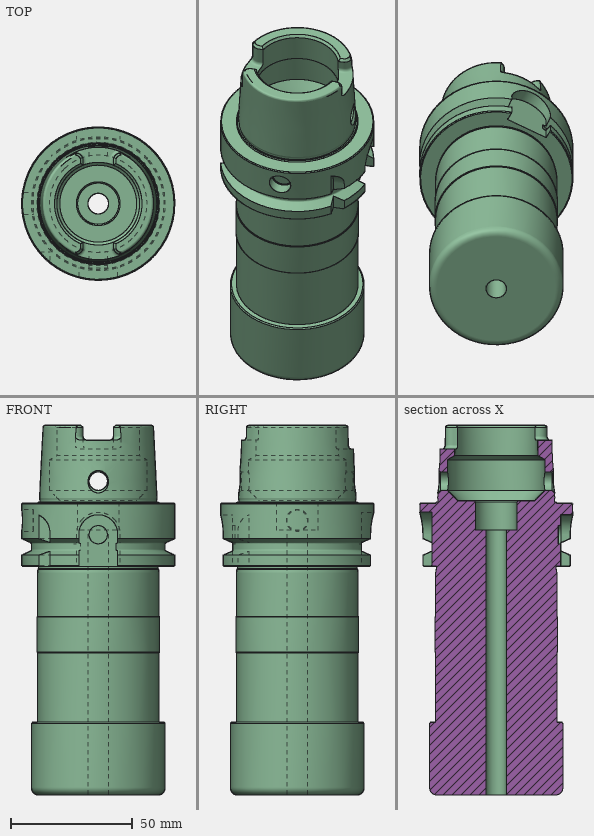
import cadquery as cq
import math


shank_height = 32.0
taper_base_z = 2.0
taper_base_radius = 48.38 / 2
taper_ratio = 1 / 20
rim_edge_size = 1.0
rim_chamfer_angle = 45.0
neck_radius = 48.04 / 2
neck_top_z = 1.2
contact_ring_radius = 50.0 / 2
contact_ring_inner_radius = 49.3 / 2
contact_ring_height = 0.5
taper_top_radius = taper_base_radius - (shank_height - taper_base_z) * taper_ratio

mouth_radius = 34.0 / 2
recess_radius = 40.0 / 2
mouth_depth = 12.5
shoulder_angle = 30.0
cavity_floor_radius = 31.6 / 2
cavity_floor_z = 1.0
thread_radius = 16.92 / 2
thread_chamfer = 0.54
thread_depth = 12.0
coolant_radius = 8.4 / 2

drive_slot_width = 12.4
drive_slot_flare = 3.2
drive_slot_flare_y = 17.7
drive_slot_floor_fillet = 1.5
front_drive_slot_depth = 6.1
rear_drive_slot_depth = 9.7

cross_hole_z = 9.0
cross_hole_radius = 7.5 / 2
cross_hole_sink_radius = 9.5 / 2
cross_hole_sink_reach = 24.0
sink_overrun = 0.5

flange_radius = 63.0 / 2
flange_height = 26.0
flange_edge_chamfer = 0.4
groove_radius = 55.0 / 2
groove_center_z = -18.0
groove_mouth = 6.8
groove_flank_angle = 25.0
groove_root_fillet = 0.5

slot_center_z = -12.8
front_slot_width = 16.0
rear_slot_width = 18.0
slot_floor_y = 26.5
slot_hole_radius = 7.5 / 2
slot_hole_z = -13.0
slot_hole_depth = 1.0
notch_offset = 19.87
notch_cutter_radius = 8.0
notch_center_z = -12.13
coding_hole_radius = 9.0 / 2
coding_hole_z = -7.1
coding_hole_depth = 5.0
coding_hole_floor_chamfer = 0.3

body_radius = 50.05 / 2
body_bottom_z = -120.0
body_neck_radius = 49.3 / 2
body_neck_bottom_z = -26.9
body_lead_radius = 49.7 / 2
body_lead_chamfer = 0.4
body_lead_bottom_z = -28.7
ring_radius = 50.5 / 2
ring_top_z = -46.5
ring_bottom_z = -61.5
ring_chamfer = 0.3
cap_radius = 55.0 / 2
cap_top_z = -90.0
cap_top_chamfer = 0.5
cap_bottom_fillet = 3.0


def revolve(points):
    return cq.Workplane("XZ").polyline(points).close().revolve(360, (0, 0, 0), (0, 1, 0))


def outer_body():
    groove_rise = (flange_radius - groove_radius) * math.tan(math.radians(groove_flank_angle))
    groove_top = groove_center_z + groove_mouth / 2
    groove_bottom = groove_center_z - groove_mouth / 2
    points = [
        (0, shank_height),
        (taper_top_radius, shank_height),
        (taper_base_radius, taper_base_z),
        (neck_radius, neck_top_z),
        (neck_radius, contact_ring_height),
        (contact_ring_inner_radius, contact_ring_height),
        (contact_ring_radius, 0),
        (flange_radius - flange_edge_chamfer, 0),
        (flange_radius, -flange_edge_chamfer),
        (flange_radius, groove_top),
        (groove_radius, groove_top - groove_rise),
        (groove_radius, groove_bottom + groove_rise),
        (flange_radius, groove_bottom),
        (flange_radius, -flange_height + flange_edge_chamfer),
        (flange_radius - flange_edge_chamfer, -flange_height),
        (body_neck_radius, -flange_height),
        (body_neck_radius, body_neck_bottom_z),
        (body_lead_radius, body_neck_bottom_z - body_lead_chamfer),
        (body_radius, body_lead_bottom_z),
        (body_radius, ring_top_z),
        (ring_radius - ring_chamfer, ring_top_z),
        (ring_radius, ring_top_z - ring_chamfer),
        (ring_radius, ring_bottom_z + ring_chamfer),
        (ring_radius - ring_chamfer, ring_bottom_z),
        (body_radius, ring_bottom_z),
        (body_radius, cap_top_z),
        (cap_radius - cap_top_chamfer, cap_top_z),
        (cap_radius, cap_top_z - cap_top_chamfer),
        (cap_radius, body_bottom_z),
        (0, body_bottom_z),
    ]
    body = revolve(points)
    body = body.faces("<Z").edges().fillet(cap_bottom_fillet)
    body = body.faces(">Z").edges().fillet(rim_edge_size)
    half_band = groove_mouth / 2 - groove_rise / 2
    groove_roots = cq.selectors.BoxSelector(
        (-groove_radius, -groove_radius, groove_center_z - half_band),
        (groove_radius, groove_radius, groove_center_z + half_band),
    )
    body = body.edges(groove_roots).edges("%CIRCLE").fillet(groove_root_fillet)
    return body


def cavity():
    mouth_bottom = shank_height - mouth_depth
    shoulder_drop = (recess_radius - mouth_radius) * math.tan(math.radians(shoulder_angle))
    floor_rise = recess_radius - cavity_floor_radius
    points = [
        (0, shank_height),
        (mouth_radius + rim_edge_size, shank_height),
        (mouth_radius, shank_height - rim_edge_size),
        (mouth_radius, mouth_bottom),
        (recess_radius, mouth_bottom - shoulder_drop),
        (recess_radius, cavity_floor_z + floor_rise),
        (cavity_floor_radius, cavity_floor_z),
        (thread_radius + thread_chamfer, cavity_floor_z),
        (thread_radius, cavity_floor_z - thread_chamfer),
        (thread_radius, cavity_floor_z - thread_depth),
        (coolant_radius, cavity_floor_z - thread_depth),
        (coolant_radius, body_bottom_z),
        (0, body_bottom_z),
    ]
    return revolve(points)


def drive_slot_outline(floor_z, growth):
    """Slot opening toward +Y whose side walls flare out in arcs, widened all round by `growth`."""
    half = drive_slot_width / 2 + growth
    flare = drive_slot_flare - growth
    wide = half + flare
    flare_end_y = drive_slot_flare_y + flare
    bulge = flare * (1 - math.sqrt(0.5))
    mid_x = half + bulge
    mid_y = flare_end_y - bulge
    return (
        cq.Workplane("XY", origin=(0, 0, floor_z))
        .moveTo(-half, 0)
        .lineTo(half, 0)
        .lineTo(half, drive_slot_flare_y)
        .threePointArc((mid_x, mid_y), (wide, flare_end_y))
        .lineTo(wide, flange_radius)
        .lineTo(-wide, flange_radius)
        .lineTo(-wide, flare_end_y)
        .threePointArc((-mid_x, mid_y), (-half, drive_slot_flare_y))
        .close()
    )


def drive_slot(depth):
    slot = drive_slot_outline(shank_height - depth, 0).extrude(depth)
    slot = slot.faces("<Z").edges().fillet(drive_slot_floor_fillet)
    rim = drive_slot_outline(shank_height, rim_edge_size).extrude(-rim_edge_size, taper=rim_chamfer_angle)
    return slot.union(rim)


def turned_to_front(shape):
    return shape.rotate((0, 0, 0), (0, 0, 1), 180)


def cross_hole():
    """Hole along Y through both walls, with a conical countersink on each outer side."""
    hole = cq.Workplane("XZ").center(0, cross_hole_z).circle(cross_hole_radius)
    hole = hole.extrude(flange_radius, both=True)
    sink_depth = cross_hole_sink_radius - cross_hole_radius
    sink = cq.Workplane("XY").add(
        cq.Solid.makeCone(
            cross_hole_radius,
            cross_hole_sink_radius + sink_overrun,
            sink_depth + sink_overrun,
            cq.Vector(0, cross_hole_sink_reach - sink_depth, cross_hole_z),
            cq.Vector(0, 1, 0),
        )
    )
    return hole.union(sink).union(turned_to_front(sink))


def flange_slot(width):
    """Slot on the +Y side, round at its top and open at the flange's lower face."""
    half = width / 2
    drop = slot_center_z + flange_height
    return (
        cq.Workplane("XZ", origin=(0, flange_radius, slot_center_z))
        .moveTo(-half, 0)
        .threePointArc((0, half), (half, 0))
        .lineTo(half, -drop)
        .lineTo(-half, -drop)
        .close()
        .extrude(flange_radius - slot_floor_y)
    )


def slot_hole():
    floor = cq.Workplane("XZ", origin=(0, -slot_floor_y, slot_hole_z))
    return floor.circle(slot_hole_radius).extrude(-slot_hole_depth)


def corner_notch():
    """Notch in the flange toward -X -Y, left by a round cutter lying along Y."""
    r = notch_cutter_radius
    drop = notch_center_z + flange_height
    return (
        cq.Workplane("XZ", origin=(-notch_offset, -notch_offset, notch_center_z))
        .moveTo(0, 0)
        .lineTo(0, -drop)
        .lineTo(-2 * r, -drop)
        .lineTo(-2 * r, 0)
        .threePointArc((-r, r), (0, 0))
        .close()
        .extrude(r)
    )


def coding_hole():
    outside = cq.Workplane("YZ", origin=(-flange_radius, 0, coding_hole_z))
    hole = outside.circle(coding_hole_radius).extrude(coding_hole_depth)
    return hole.faces(">X").edges().chamfer(coding_hole_floor_chamfer)


shank = outer_body().cut(cavity())
shank = shank.cut(turned_to_front(drive_slot(front_drive_slot_depth)))
shank = shank.cut(drive_slot(rear_drive_slot_depth))

result = (
    shank.cut(cross_hole())
    .cut(turned_to_front(flange_slot(front_slot_width)))
    .cut(flange_slot(rear_slot_width))
    .cut(slot_hole())
    .cut(corner_notch())
    .cut(coding_hole())
)